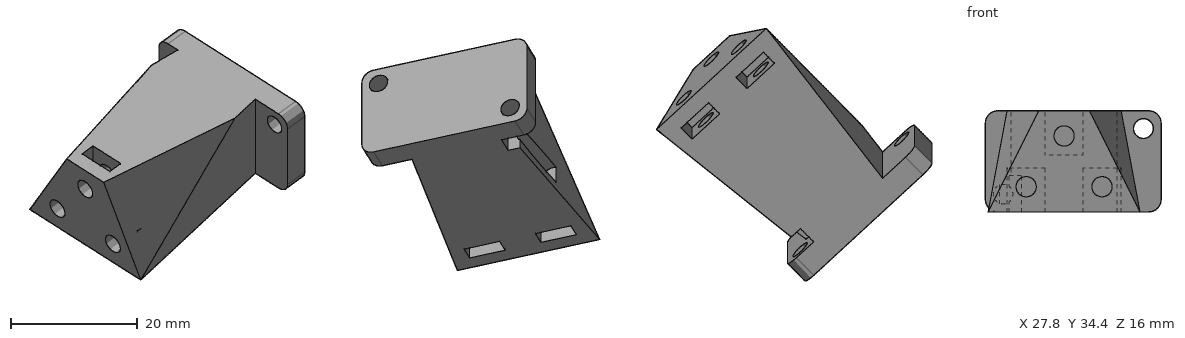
import cadquery as cq

LENGTH = 34.42
HEIGHT = 16.0

FLANGE_WIDTH = 27.8
FLANGE_THICKNESS = 4.0
FLANGE_RADIUS = 2.0
FLANGE_OFFSET = 1.45
FLANGE_HOLE_DIAMETER = 3.1
FLANGE_HOLE_INSET = 2.82
flange_front = LENGTH - FLANGE_THICKNESS

FRONT_WIDTH = 24.0
REAR_WIDTH = 16.73
FRONT_TOP_WIDTH = 8.0
BEVEL_LENGTH = 25.02
side_slope = (FRONT_WIDTH - REAR_WIDTH) / 2 / flange_front

SCREW_DIAMETER = 3.2
SCREW_DEPTH = 9.98
SCREW_SPACING = 11.98
SCREW_EDGE_DISTANCE = 4.0
NUT_WIDTH = 6.0
NUT_THICKNESS = 2.5
NUT_SETBACK = 2.5

RELIEF_WIDTH = 5.85
RELIEF_LENGTH = 3.0
CHANNEL_FRONT = 15.0


def box_between(low, high):
    """Box spanning two opposite corners."""
    size = [b - a for a, b in zip(low, high)]
    return cq.Workplane("XY").box(*size, centered=False).translate(low)


def cylinder_along_y(x, z, diameter, start, end):
    """Cylinder parallel to Y between two Y positions."""
    solid = cq.Solid.makeCylinder(diameter / 2, end - start, cq.Vector(x, start, z), cq.Vector(0, 1, 0))
    return cq.Workplane(obj=solid)


def make_bevel(side):
    """Tetrahedron that removes an upper front corner on one side (-1 or 1)."""
    lower_front = cq.Vector(side * FRONT_WIDTH / 2, 0, 0)
    upper_front = cq.Vector(side * FRONT_WIDTH / 2, 0, HEIGHT)
    top_edge = cq.Vector(side * FRONT_TOP_WIDTH / 2, 0, HEIGHT)
    rear_x = side * (FRONT_WIDTH / 2 - side_slope * BEVEL_LENGTH)
    top_rear = cq.Vector(rear_x, BEVEL_LENGTH, HEIGHT)
    triangles = [
        (lower_front, upper_front, top_edge),
        (lower_front, upper_front, top_rear),
        (upper_front, top_edge, top_rear),
        (lower_front, top_edge, top_rear),
    ]
    faces = [cq.Face.makeFromWires(cq.Wire.makePolygon(corners, close=True)) for corners in triangles]
    return cq.Workplane(obj=cq.Solid.makeSolid(cq.Shell.makeShell(faces)))


def make_body():
    """Tapered block with both upper front corners bevelled away."""
    outline = [
        (-FRONT_WIDTH / 2, 0),
        (FRONT_WIDTH / 2, 0),
        (REAR_WIDTH / 2, flange_front),
        (-REAR_WIDTH / 2, flange_front),
    ]
    body = cq.Workplane("XY").polyline(outline).close().extrude(HEIGHT)
    for side in (-1, 1):
        body = body.cut(make_bevel(side))
    return body


def make_flange():
    """Plate with rounded corners, set off to +X of the body."""
    center = (FLANGE_OFFSET, flange_front + FLANGE_THICKNESS / 2, HEIGHT / 2)
    plate = cq.Workplane("XY").box(FLANGE_WIDTH, FLANGE_THICKNESS, HEIGHT)
    return plate.edges("|Y").fillet(FLANGE_RADIUS).translate(center)


def cut_screw_holes(part):
    """Three blind holes; the nut slot of each opens on the nearest of top and bottom."""
    nut_back = NUT_SETBACK + NUT_THICKNESS
    slot_depth = SCREW_EDGE_DISTANCE + NUT_WIDTH / 2
    top = (0, HEIGHT - SCREW_EDGE_DISTANCE, HEIGHT - slot_depth, HEIGHT)
    left = (-SCREW_SPACING / 2, SCREW_EDGE_DISTANCE, 0, slot_depth)
    right = (SCREW_SPACING / 2, SCREW_EDGE_DISTANCE, 0, slot_depth)
    for x, z, slot_bottom, slot_top in (top, left, right):
        part = part.cut(cylinder_along_y(x, z, SCREW_DIAMETER, 0, SCREW_DEPTH))
        slot_low = (x - NUT_WIDTH / 2, NUT_SETBACK, slot_bottom)
        slot_high = (x + NUT_WIDTH / 2, nut_back, slot_top)
        part = part.cut(box_between(slot_low, slot_high))
    return part


def cut_flange_holes(part):
    """Two diagonally opposite holes; the lower one continues as a channel in the body side."""
    hole_x = FLANGE_WIDTH / 2 - FLANGE_HOLE_INSET
    right_x = FLANGE_OFFSET + hole_x
    left_x = FLANGE_OFFSET - hole_x
    upper_z = HEIGHT - FLANGE_HOLE_INSET
    lower_z = FLANGE_HOLE_INSET
    part = part.cut(cylinder_along_y(right_x, upper_z, FLANGE_HOLE_DIAMETER, flange_front, LENGTH))
    part = part.cut(cylinder_along_y(left_x, lower_z, FLANGE_HOLE_DIAMETER, CHANNEL_FRONT, LENGTH))
    half = RELIEF_WIDTH / 2
    relief_low = (left_x - half, flange_front - RELIEF_LENGTH, lower_z - half)
    relief_high = (left_x + half, flange_front, lower_z + half)
    return part.cut(box_between(relief_low, relief_high))


result = make_body().union(make_flange())
result = cut_screw_holes(result)
result = cut_flange_holes(result)